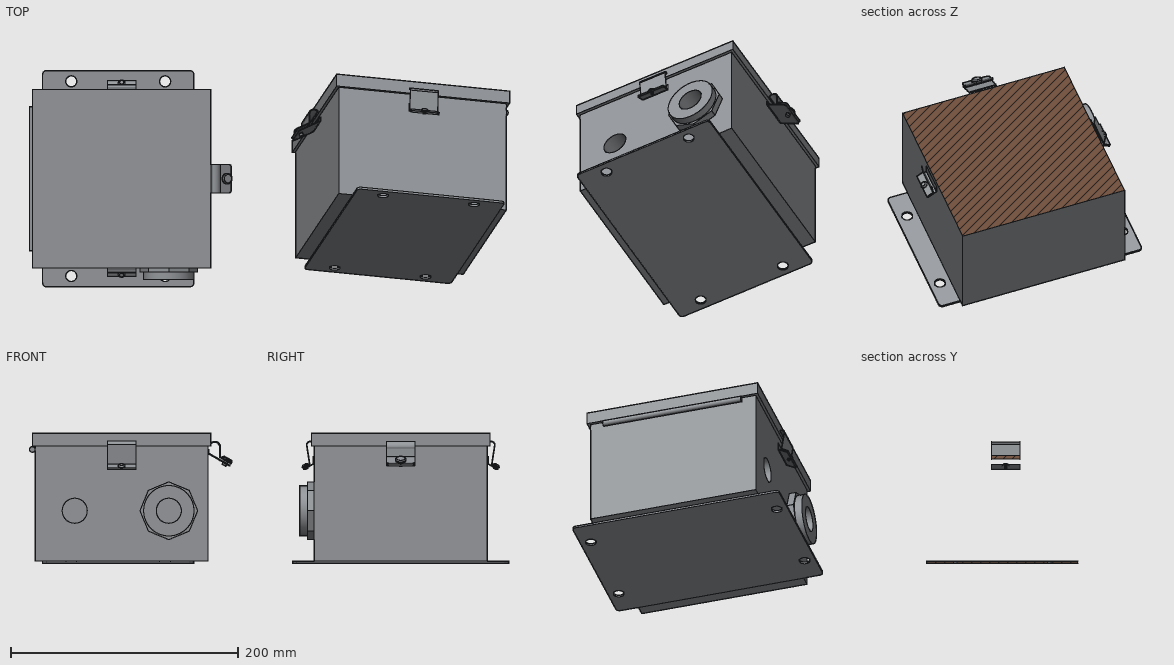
import cadquery as cq
import math

body_size = 152.4
body_height = 101.3
lid_size = 157.4
lid_height = 11.5

plate_length_x = 133.4
plate_length_y = 190.5
plate_thickness = 2.0
plate_center_x = -3.0
plate_corner_radius = 3.5
mount_hole_diameter = 9.5
mount_hole_pitch_x = 82.7
mount_hole_pitch_y = 171.5

hinge_diameter = 5.1
hinge_length = 127.0
hinge_overlap = 0.1
hinge_gap_below_lid = 0.4

entry_z = 46.3
entry_diameter = 22.1
entry_depth = 22.9
plain_entry_x = -41.3
gland_x = 41.5
nut_across_corners = 50.9
nut_thickness = 6.1
collar_diameter = 44.4
collar_length = 6.7

latch_width = 25.3
latch_slope = math.radians(30)
hook_root_depth = 0.8
screw_head_ratio = 2.5

side_latch = {
    "thickness": 0.85,
    "tab_pitch": 2.3,
    "keeper_z": 97.0,
    "flange_offset": 0.4,
    "flange_top": 100.0,
    "screw_along": 17.3,
    "tab_end": 21.7,
    "shank_diameter": 3.8,
    "screw_below": 2.3,
    "head_rim": 1.1,
    "head_bevel": 1.05,
    "corner_radius": 2.1,
    "root_z": 105.2,
    "arc_start": (79.2, 106.1),
    "arc_end": (86.7, 101.5),
    "foot_along": 10.7,
}
end_latch = {
    "thickness": 0.5,
    "tab_pitch": 1.5,
    "keeper_z": 88.0,
    "flange_offset": 1.0,
    "flange_top": 93.7,
    "screw_along": 8.0,
    "tab_end": 10.5,
    "shank_diameter": 2.5,
    "screw_below": 1.0,
    "head_rim": 0.48,
    "head_bevel": 1.24,
    "corner_radius": 0,
    "root_z": 107.3,
    "arc_start": (79.8, 107.3),
    "arc_end": (82.9, 104.5),
    "foot_along": 3.8,
}

body_bottom = plate_thickness
lid_bottom = body_bottom + body_height
wall = body_size / 2
lid_wall = lid_size / 2


def make_plate():
    plate = (
        cq.Workplane("XY")
        .center(plate_center_x, 0)
        .rect(plate_length_x, plate_length_y)
        .extrude(plate_thickness)
        .edges("|Z")
        .fillet(plate_corner_radius)
    )
    holes = (
        cq.Workplane("XY")
        .center(plate_center_x, 0)
        .rect(mount_hole_pitch_x, mount_hole_pitch_y, forConstruction=True)
        .vertices()
        .circle(mount_hole_diameter / 2)
        .extrude(plate_thickness)
    )
    return plate.cut(holes)


def make_enclosure():
    body = cq.Workplane("XY", origin=(0, 0, body_bottom)).rect(body_size, body_size).extrude(body_height)
    lid = cq.Workplane("XY", origin=(0, 0, lid_bottom)).rect(lid_size, lid_size).extrude(lid_height)
    return body.union(lid)


def make_hinge():
    radius = hinge_diameter / 2
    center = (-wall - radius + hinge_overlap, 0, lid_bottom - hinge_gap_below_lid - radius)
    return cq.Workplane("XZ", origin=center).circle(radius).extrude(hinge_length / 2, both=True)


def make_gland():
    nut = (
        cq.Workplane("XZ", origin=(gland_x, -wall, entry_z))
        .polygon(8, nut_across_corners)
        .extrude(nut_thickness)
    )
    return nut.faces("<Y").workplane().circle(collar_diameter / 2).extrude(collar_length)


def entry_hole(x, outer_y):
    return (
        cq.Workplane("XZ", origin=(x, outer_y, entry_z))
        .circle(entry_diameter / 2)
        .extrude(-entry_depth)
    )


def make_strip(path, thickness):
    """Sheet strip of the latch width whose mid-line is an open wire in the XZ plane."""
    return path.wire().offset2D(thickness / 2).extrude(latch_width / 2, both=True)


def make_screw(foot, below, above, shank_diameter, head_rim, head_bevel):
    """Screw square to the sloping tabs, from below the keeper to a bevelled head above the tab."""
    plane = cq.Plane(
        origin=(foot[0], 0, foot[1]),
        xDir=(math.cos(latch_slope), 0, -math.sin(latch_slope)),
        normal=(0, -1, 0),
    )
    shank_radius = shank_diameter / 2
    head_radius = screw_head_ratio * shank_radius
    rim_top = above + head_rim
    head_top = rim_top + head_bevel
    half_outline = [
        (0, -below),
        (shank_radius, -below),
        (shank_radius, above),
        (head_radius, above),
        (head_radius, rim_top),
        (head_radius - head_bevel, head_top),
        (0, head_top),
    ]
    return cq.Workplane(plane).polyline(half_outline).close().revolve(360, (0, 0), (0, 1))


def round_tip(strips, radius):
    """Round the two outer corners of the tabs as seen along Z."""
    box = strips.val().BoundingBox()
    outline = (
        cq.Workplane("XY", origin=(0, 0, box.zmin))
        .rect(2 * box.xmax, latch_width)
        .extrude(box.zlen)
        .edges("|Z and >X")
        .fillet(radius)
    )
    return strips.intersect(outline)


def make_latch(latch):
    """Latch on the +X wall: a keeper on the body, a hook from the lid and the screw joining them."""
    thickness = latch["thickness"]
    gap = latch["tab_pitch"]

    def on_slope(along, above):
        """Point at a distance along the keeper slope and above it."""
        return (
            wall + along * math.cos(latch_slope) + above * math.sin(latch_slope),
            latch["keeper_z"] - along * math.sin(latch_slope) + above * math.cos(latch_slope),
        )

    flange_x = wall + latch["flange_offset"]
    bend_z = latch["keeper_z"] - latch["flange_offset"] * math.tan(latch_slope)
    keeper_path = cq.Workplane("XZ").polyline([
        (flange_x, latch["flange_top"]),
        (flange_x, bend_z),
        on_slope(latch["tab_end"], 0),
    ])
    hook_path = (
        cq.Workplane("XZ")
        .moveTo(lid_wall - hook_root_depth, latch["root_z"])
        .lineTo(*latch["arc_start"])
        .tangentArcPoint(latch["arc_end"], relative=False)
        .lineTo(*on_slope(latch["foot_along"], gap))
        .lineTo(*on_slope(latch["tab_end"], gap))
    )
    keeper = make_strip(keeper_path, thickness)
    hook = make_strip(hook_path, thickness)
    if latch["corner_radius"] > 0:
        keeper = round_tip(keeper, latch["corner_radius"])
        hook = round_tip(hook, latch["corner_radius"])
    screw = make_screw(
        on_slope(latch["screw_along"], 0),
        latch["screw_below"],
        gap + thickness / 2,
        latch["shank_diameter"],
        latch["head_rim"],
        latch["head_bevel"],
    )
    return keeper.union(hook).union(screw)


result = make_enclosure().union(make_plate()).union(make_hinge()).union(make_gland())
gland_face_y = -wall - nut_thickness - collar_length
result = result.cut(entry_hole(plain_entry_x, -wall))
result = result.cut(entry_hole(gland_x, gland_face_y))

for latch, turn in [(side_latch, 0), (end_latch, -90), (end_latch, 90)]:
    result = result.union(make_latch(latch).rotate((0, 0, 0), (0, 0, 1), turn))